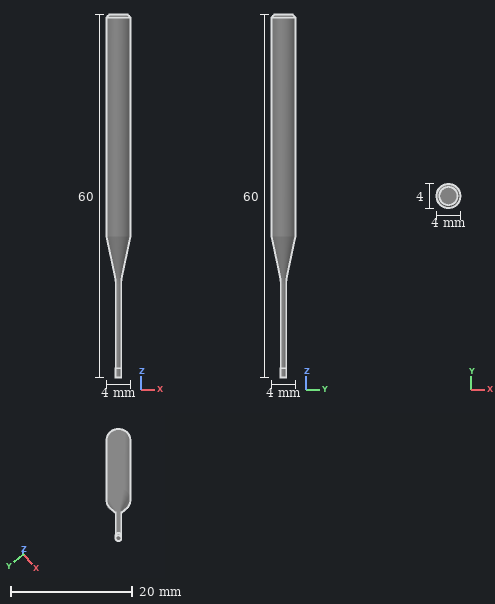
import cadquery as cq
import math

overall_length = 60.0
shank_radius = 2.0
top_chamfer = 0.5

head_radius = 0.5
head_length = 1.5

neck_radius = 0.475
neck_top = 15.5
cone_bottom = 16.75

cone_half_angle = math.radians(12.0)
blend_radius = (cone_bottom - neck_top) / math.sin(cone_half_angle)


def blend_point(angle):
    """Profile point on the blend arc, whose angle is 0 where it leaves the neck."""
    radius = neck_radius + blend_radius * (1 - math.cos(angle))
    height = neck_top + blend_radius * math.sin(angle)
    return (radius, height)


cone_bottom_radius = blend_point(cone_half_angle)[0]
cone_top = cone_bottom + (shank_radius - cone_bottom_radius) / math.tan(cone_half_angle)


def make_cutting_head():
    return cq.Workplane("XY").circle(head_radius).extrude(head_length)


def make_shank():
    """Neck, blend, cone and chamfered shank, revolved about Z as one body."""
    profile = (
        cq.Workplane("XZ")
        .moveTo(0, head_length)
        .lineTo(neck_radius, head_length)
        .lineTo(neck_radius, neck_top)
        .threePointArc(blend_point(cone_half_angle / 2), blend_point(cone_half_angle))
        .lineTo(shank_radius, cone_top)
        .lineTo(shank_radius, overall_length - top_chamfer)
        .lineTo(shank_radius - top_chamfer, overall_length)
        .lineTo(0, overall_length)
        .close()
    )
    return profile.revolve(360, (0, 0, 0), (0, 1, 0))


cutting_head = make_cutting_head()
shank = make_shank()

result = cq.Compound.makeCompound([cutting_head.val(), shank.val()])